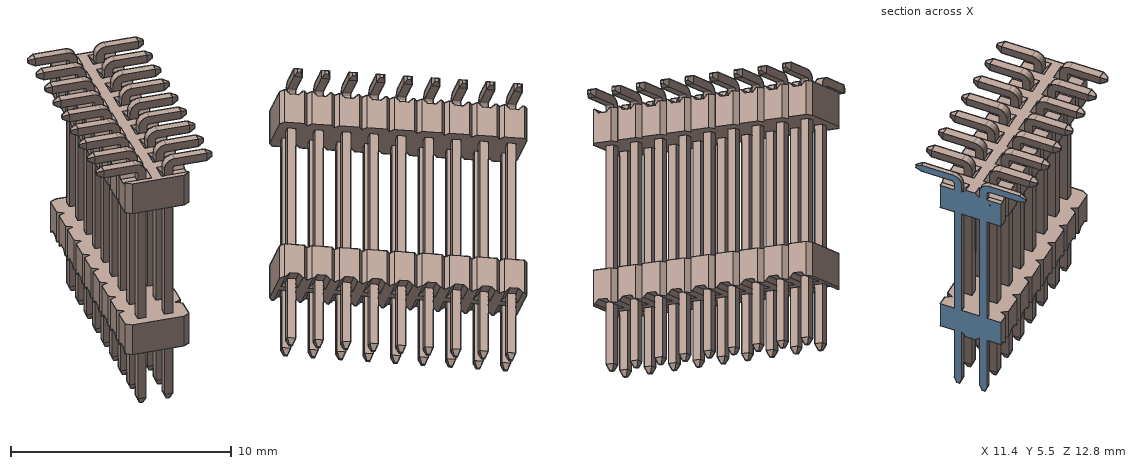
import cadquery as cq
import math

pins_per_row = 9
total_length = 11.43
total_width = 5.5
total_height = 12.8
pitch = total_length / pins_per_row
row_offset = pitch / 2

block_width = 3.05
block_height = 1.59
upper_block_top = total_height - 0.69
lower_block_bottom = 3.0
notch_depth = 0.3
notch_half_angle = 30.0
notch_half_width = notch_depth * math.tan(math.radians(notch_half_angle))

pin_size = 0.4
tip_length = 0.3
tip_size = 0.15
bend_inner_radius = 0.1
bend_outer_radius = bend_inner_radius + pin_size

pocket_mouth = 0.8
pocket_depth = 0.19


def pin_positions():
    return [(index - (pins_per_row - 1) / 2) * pitch for index in range(pins_per_row)]


def make_block():
    """Insulator block standing on Z = 0, with V notches between pins and matching corner chamfers."""
    block = cq.Workplane("XY").box(total_length, block_width, block_height, centered=(True, True, False))
    for boundary in range(pins_per_row + 1):
        x = (boundary - pins_per_row / 2) * pitch
        for side in (-1, 1):
            face_y = side * block_width / 2
            notch = (
                cq.Workplane("XY")
                .moveTo(x - notch_half_width, face_y)
                .lineTo(x, face_y - side * notch_depth)
                .lineTo(x + notch_half_width, face_y)
                .close()
                .extrude(block_height)
            )
            block = block.cut(notch)
    return block


def make_pocket():
    """Pocket of the -Y row, centred on the pin, tapering down from its mouth at Z = 0."""
    well = (
        cq.Workplane("XY")
        .rect(pocket_mouth, pocket_mouth)
        .workplane(offset=-pocket_depth)
        .rect(pin_size, pin_size)
        .loft(ruled=True)
    )
    channel_length = block_width / 2 - row_offset
    channel = (
        cq.Workplane("XZ")
        .moveTo(-pocket_mouth / 2, 0)
        .lineTo(-pin_size / 2, -pocket_depth)
        .lineTo(pin_size / 2, -pocket_depth)
        .lineTo(pocket_mouth / 2, 0)
        .close()
        .extrude(channel_length)
    )
    return well.union(channel).translate((0, -row_offset, 0))


def cut_pockets(block):
    """Cut a pocket for every pin into the top of a block."""
    front_pocket = make_pocket().translate((0, 0, block_height))
    for pocket in (front_pocket, front_pocket.mirror("XZ")):
        for x in pin_positions():
            block = block.cut(pocket.translate((x, 0, 0)))
    return block


def make_tip(base_plane):
    """Tapered pin end growing along the normal of the base plane."""
    return (
        cq.Workplane(base_plane)
        .rect(pin_size, pin_size)
        .workplane(offset=tip_length)
        .rect(tip_size, tip_size)
        .loft(ruled=True)
    )


def make_pin():
    """Pin of the -Y row at X = 0: straight shank bent outward at the top, tapered at both ends."""
    inner_y = -row_offset + pin_size / 2
    outer_y = -row_offset - pin_size / 2
    arm_end_y = -total_width / 2 + tip_length
    arm_bottom = total_height - pin_size
    bend_y = inner_y - bend_outer_radius
    bend_z = total_height - bend_outer_radius
    diagonal = math.sqrt(0.5)
    outer_mid = (bend_y + bend_outer_radius * diagonal, bend_z + bend_outer_radius * diagonal)
    inner_mid = (bend_y + bend_inner_radius * diagonal, bend_z + bend_inner_radius * diagonal)
    shaft = (
        cq.Workplane("YZ")
        .moveTo(inner_y, tip_length)
        .lineTo(inner_y, bend_z)
        .threePointArc(outer_mid, (bend_y, total_height))
        .lineTo(arm_end_y, total_height)
        .lineTo(arm_end_y, arm_bottom)
        .lineTo(bend_y, arm_bottom)
        .threePointArc(inner_mid, (outer_y, bend_z))
        .lineTo(outer_y, tip_length)
        .close()
        .extrude(pin_size / 2, both=True)
    )
    lower_tip = make_tip(cq.Plane((0, -row_offset, tip_length), xDir=(1, 0, 0), normal=(0, 0, -1)))
    arm_tip_origin = (0, arm_end_y, total_height - pin_size / 2)
    arm_tip = make_tip(cq.Plane(arm_tip_origin, xDir=(1, 0, 0), normal=(0, -1, 0)))
    return shaft.union(lower_tip).union(arm_tip)


block = cut_pockets(make_block())
upper_block = block.translate((0, 0, upper_block_top - block_height))
lower_block = block.mirror("XY").translate((0, 0, lower_block_bottom + block_height))

result = upper_block.union(lower_block)
front_pin = make_pin()
for pin in (front_pin, front_pin.mirror("XZ")):
    for x in pin_positions():
        result = result.union(pin.translate((x, 0, 0)))